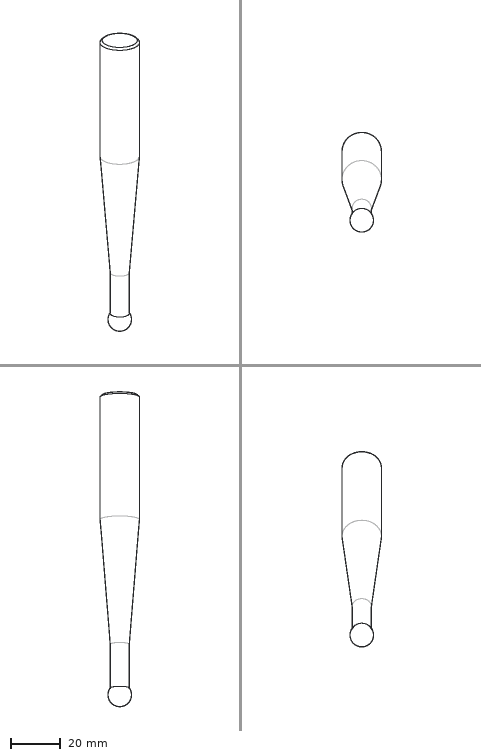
import cadquery as cq
import math

total_length = 127.0
shank_diameter = 15.9
neck_diameter = 7.7
ball_diameter = 9.5
shank_bottom = 76.2
neck_top = 25.4
end_chamfer = 0.9

shank_radius = shank_diameter / 2
neck_radius = neck_diameter / 2
ball_radius = ball_diameter / 2

neck_bottom = ball_radius + math.sqrt(ball_radius**2 - neck_radius**2)


def make_holder():
    """Chamfered shank, taper and slim neck, turned as one solid that ends flat on the ball."""
    return (
        cq.Workplane("XZ")
        .moveTo(0, neck_bottom)
        .lineTo(neck_radius, neck_bottom)
        .lineTo(neck_radius, neck_top)
        .lineTo(shank_radius, shank_bottom)
        .lineTo(shank_radius, total_length - end_chamfer)
        .lineTo(shank_radius - end_chamfer, total_length)
        .lineTo(0, total_length)
        .close()
        .revolve(360, (0, 0), (0, 1))
    )


def make_ball_tip():
    """Ball cut off flat where the neck sits on it."""
    return (
        cq.Workplane("XZ")
        .moveTo(0, 0)
        .threePointArc((ball_radius, ball_radius), (neck_radius, neck_bottom))
        .lineTo(0, neck_bottom)
        .close()
        .revolve(360, (0, 0), (0, 1))
    )


holder = make_holder()
ball_tip = make_ball_tip()

result = cq.Compound.makeCompound([holder.val(), ball_tip.val()])